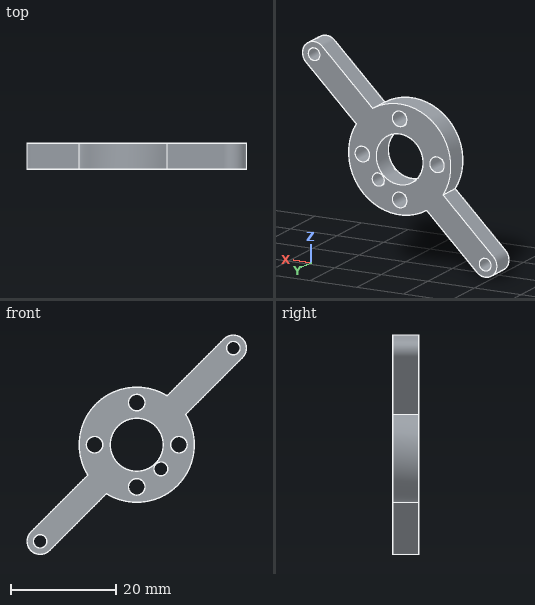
import cadquery as cq
import math

overall = 41.75
thickness = 5.0
arm_width = 5.0
hub_radius = 11.0
bore_diameter = 10.02
mount_circle_radius = 8.0
mount_hole_diameter = 3.1
mount_hole_count = 4
pin_hole_offset = 4.6
pin_hole_diameter = 2.6
tip_hole_diameter = 2.5
arm_angle = 45.0

tip_offset = overall / 2 - arm_width / 2
arm_length = 2 * tip_offset * math.sqrt(2) + arm_width
tips = [(tip_offset, tip_offset), (-tip_offset, -tip_offset)]


def plate_sketch():
    """Workplane on the +Y face of the plate; extrusions run toward -Y."""
    return cq.Workplane("XZ", origin=(0, thickness / 2, 0))


def drills(points, diameter):
    """Cylinders through the full thickness at the given (x, z) points."""
    return plate_sketch().pushPoints(points).circle(diameter / 2).extrude(thickness)


hub = plate_sketch().circle(hub_radius).extrude(thickness)
arms = plate_sketch().slot2D(arm_length, arm_width, arm_angle).extrude(thickness)
body = hub.union(arms)

mount_points = []
for index in range(mount_hole_count):
    angle = 2 * math.pi * index / mount_hole_count
    mount_points.append((mount_circle_radius * math.cos(angle), mount_circle_radius * math.sin(angle)))

body = body.cut(drills([(0, 0)], bore_diameter))
body = body.cut(drills(mount_points, mount_hole_diameter))
body = body.cut(drills([(pin_hole_offset, -pin_hole_offset)], pin_hole_diameter))
body = body.cut(drills(tips, tip_hole_diameter))

result = body